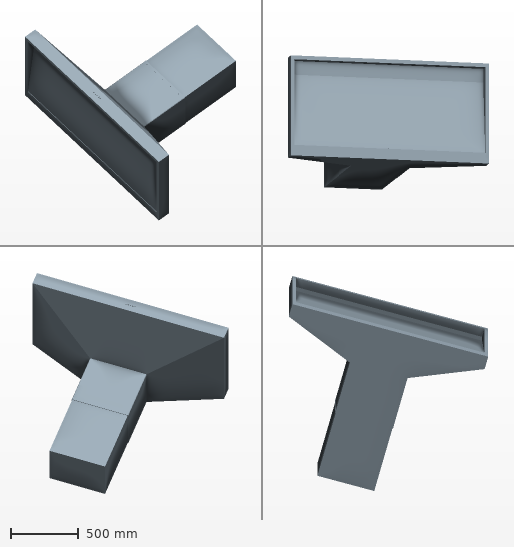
import cadquery as cq

canopy_width = 1500.0
canopy_height = 750.0
rim_depth = 99.0
taper_end = 318.0

recess_margin = 28.0
recess_bottom = 80.0
recess_width = canopy_width - 2 * recess_margin
recess_top = canopy_height - recess_margin
recess_depth = 66.0
recess_lip = 3.0
lamp_panel_bottom = 618.0

upper_width = 435.0
upper_height = 336.0
upper_end = 1220.0
sleeve_clearance = 5.0
lower_width = upper_width + 2 * sleeve_clearance
lower_height = upper_height + sleeve_clearance
lower_end = 720.0
collar_length = 18.0
collar_step = 0.8

lamp_diameter = 46.0
lamp_thickness = 8.0
lamp_spacing = 475.0
lamp_height = 670.0
button_count = 5
button_diameter = 9.0
button_height = 8.0
button_spacing = 18.0
button_setback = 50.0


def duct_block(width, height, start, end):
    """Block standing on Z = 0, centred in X, running from start to end in Y."""
    return (
        cq.Workplane("XY")
        .box(width, end - start, height, centered=(True, False, False))
        .translate((0, start, 0))
    )


def make_taper():
    """Loft from the canopy outline to the lower duct outline."""
    return (
        cq.Workplane("XZ", origin=(0, rim_depth, 0))
        .center(0, canopy_height / 2)
        .rect(canopy_width, canopy_height)
        .workplane(offset=rim_depth - taper_end)
        .center(0, (lower_height - canopy_height) / 2)
        .rect(lower_width, lower_height)
        .loft(ruled=True)
    )


def make_recess():
    """Cutter whose floor slopes back and then rises straight at the lamp panel."""
    return (
        cq.Workplane("YZ", origin=(-recess_width / 2, 0, 0))
        .moveTo(0, recess_bottom)
        .lineTo(recess_lip, recess_bottom)
        .lineTo(recess_depth, lamp_panel_bottom)
        .lineTo(recess_depth, recess_top)
        .lineTo(0, recess_top)
        .close()
        .extrude(recess_width)
    )


def make_buttons():
    """Row of round buttons on the top of the canopy rim."""
    return (
        cq.Workplane("XY", origin=(0, button_setback, canopy_height))
        .rarray(button_spacing, 15, button_count, 1)
        .circle(button_diameter / 2)
        .extrude(button_height)
    )


def make_lamp(x):
    """Disc set flush into the lamp panel."""
    return (
        cq.Workplane("XZ", origin=(x, recess_depth, lamp_height))
        .circle(lamp_diameter / 2)
        .extrude(-lamp_thickness)
    )


def make_canopy(lamps):
    """Canopy with its recess, buttons and a seat for each lamp."""
    canopy = duct_block(canopy_width, canopy_height, 0, rim_depth)
    canopy = canopy.union(make_taper()).cut(make_recess()).union(make_buttons())
    for lamp in lamps:
        canopy = canopy.cut(lamp)
    return canopy


def make_lower_duct():
    """Lower duct with bevelled long edges and a faintly raised end collar."""
    collar_start = lower_end - collar_length
    body = duct_block(
        lower_width - 2 * collar_step, lower_height - collar_step, taper_end, collar_start
    )
    collar = duct_block(lower_width, lower_height, collar_start, lower_end)
    bevel = sleeve_clearance - collar_step
    body = body.edges("|Y and >Z").chamfer(bevel)
    collar = collar.edges("|Y and >Z").chamfer(sleeve_clearance)
    return body.union(collar)


lamps = [make_lamp(x) for x in (-lamp_spacing, 0, lamp_spacing)]
canopy = make_canopy(lamps)
lower_duct = make_lower_duct()
upper_duct = duct_block(upper_width, upper_height, lower_end, upper_end)

result = cq.Compound.makeCompound(
    [canopy.val(), lower_duct.val(), upper_duct.val(), *[lamp.val() for lamp in lamps]]
)